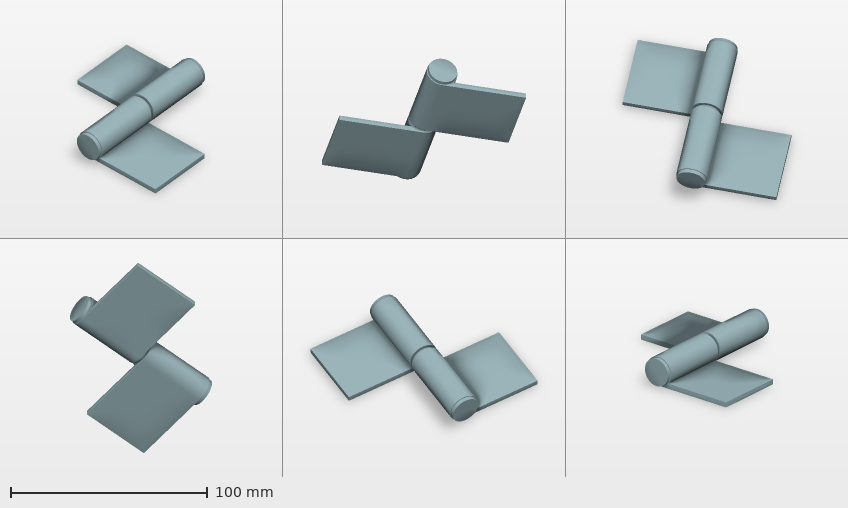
import cadquery as cq

OVERALL_WIDTH = 88.0
OVERALL_LENGTH = 82.0
BARREL_DIAMETER = 16.0
LEAF_THICKNESS = 2.8
CAP_DIAMETER = 15.0
CAP_LENGTH = 2.0
WASHER_DIAMETER = 14.0
WASHER_LENGTH = 2.0
WASHER_BULGE = 0.6

barrel_radius = BARREL_DIAMETER / 2
barrel_length = (OVERALL_LENGTH - 2 * CAP_LENGTH - WASHER_LENGTH) / 2
barrel_start = WASHER_LENGTH / 2
barrel_end = barrel_start + barrel_length
leaf_reach = OVERALL_WIDTH / 2


def cylinder_along_y(diameter, start, length):
    """Solid cylinder on the hinge axis, extending from start toward +Y."""
    return (
        cq.Workplane("XZ", origin=(0, start, 0))
        .circle(diameter / 2)
        .extrude(-length)
    )


def make_leaf():
    """Barrel with a flat plate toward -X, its underside tangent to the barrel."""
    barrel = cylinder_along_y(BARREL_DIAMETER, barrel_start, barrel_length)
    plate = cq.Workplane("XY").box(
        leaf_reach, barrel_length, LEAF_THICKNESS, centered=False
    ).translate((-leaf_reach, barrel_start, -barrel_radius))
    return barrel.union(plate)


def make_cap():
    """Disc closing the outer end of a barrel."""
    return cylinder_along_y(CAP_DIAMETER, barrel_end, CAP_LENGTH)


def make_washer():
    """Disc with a rounded rim, filling the gap between the two barrels."""
    crown_radius = WASHER_DIAMETER / 2
    face_radius = crown_radius - WASHER_BULGE
    return (
        cq.Workplane("XY")
        .moveTo(0, -barrel_start)
        .lineTo(face_radius, -barrel_start)
        .threePointArc((crown_radius, 0), (face_radius, barrel_start))
        .lineTo(0, barrel_start)
        .close()
        .revolve(360, (0, 0, 0), (0, 1, 0))
    )


leaves = []
caps = []
for angle in (0, 180):
    leaves.append(make_leaf().rotate((0, 0, 0), (0, 0, 1), angle).val())
    caps.append(make_cap().rotate((0, 0, 0), (0, 0, 1), angle).val())

washer = make_washer()

result = cq.Compound.makeCompound([*leaves, *caps, washer.val()])